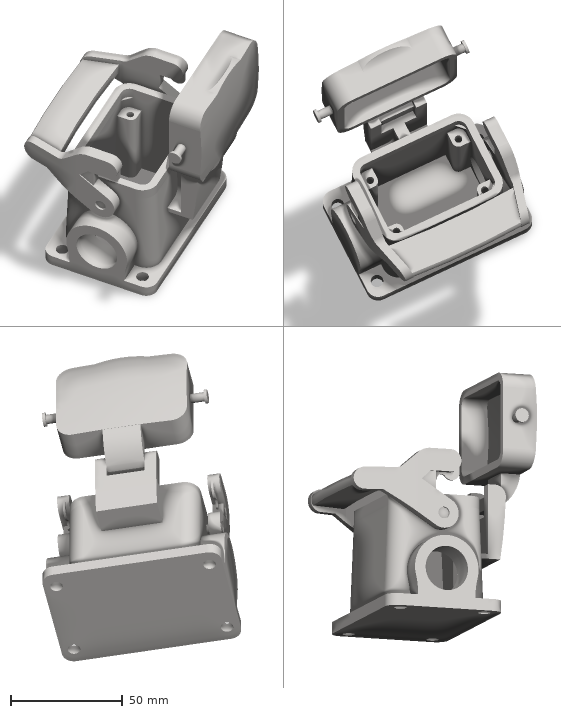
import cadquery as cq
import math


flange_length = 55.0
flange_width = 82.0
flange_thickness = 5.4
flange_corner_radius = 5.4
screw_hole_diameter = 5.7
screw_hole_x = 20.0
screw_hole_y = 35.1

shell_half_width = 30.0
shell_half_length_top = 21.55
shell_half_length_bottom = 23.45
shell_corner_radius = 7.5
wall = 3.55
cavity_corner_radius = shell_corner_radius - wall
shell_top = 54.2
lip_base = 48.9

post_inner_x = 9.9
post_inner_y = 18.8
post_corner_radius = 3.0
post_top = 42.3
post_hole_diameter = 3.4
post_hole_depth = 12.0
post_hole_x = 13.4
post_hole_y = 22.1

boss_radius = 15.15
boss_axis_z = 18.25
boss_tangent_z = 14.7
bore_diameter = 20.2

bracket_bottom = 29.0
bracket_half_width = 14.0
bracket_slot_half_width = 8.7
bracket_front_x = 29.1
bracket_back_x_top = 37.65
bracket_back_x_middle = 36.75
bracket_back_x_bottom = 35.0
bracket_top = 63.1
bracket_shoulder_z = 57.7
bracket_middle_z = (bracket_bottom + bracket_shoulder_z) / 2
bracket_crown_x = 32.3
web_half_width = 2.85
web_fillet_radius = 3.9
web_plate_thickness = 2.2

cover_front_x = 30.75
cover_rim_x = 46.3
cover_crown_x = 47.83
cover_centre_z = 91.05
cover_half_height = shell_half_length_top
cover_half_width = shell_half_width
dome_radius_xz = 170.0
dome_radius_xy = 500.0
cover_pin_x = 37.1
tongue_front_x = cover_pin_x
tongue_bar_front_x = 31.3
tongue_bar_bottom = 53.2
tongue_bar_top = 59.2
tongue_back_x = 43.6
tongue_back_z = 61.2
tongue_heel_x = 37.0
tongue_heel_z = 54.4
tongue_bar_back_x = 35.1

grip_half_width = 12.3
grip_height = 1.96
grip_crown_radius = (grip_half_width**2 + grip_height**2) / (2 * grip_height)
grip_scoop_start_x = 40.2
grip_scoop_end_x = 44.3

pin_diameter = 4.2
pin_head_diameter = 6.3
pin_head_thickness = 1.3
pin_tip_y = 37.7
pivot_z = 44.3
pivot_head_diameter = 5.26
pivot_head_recess = 1.0

sweep_half_angle = 8.0

arm_outer_y = 37.2
arm_inner_y = 31.7
arm_bend_x = -12.2
arm_slant_x = -21.1
arm_end_x = -40.9
arm_slant = math.radians(14.25)
arm_end_inner_y = 27.0
lug_radius = 7.0
lug_edge_slope = math.radians(32.4)
hook_left_x = -6.3
hook_end_x = 8.3
hook_top = 73.5
hook_bottom = 63.3
hook_radius = (hook_top - hook_bottom) / 2
hook_centre_z = hook_bottom + hook_radius
handle_bend_start_x = -22.2
handle_bend_end_x = -19.4
handle_bend_end_z = 65.0
shoulder_z = 71.3
shoulder_end_x = -7.0
throat_x = -10.5
throat_recess_depth = 0.5
window_left_x = -3.7
handle_top = 64.0
handle_bottom = 53.8
catch_inset = 1.8
catch_thickness = 1.0
catch_bottom = 59.9
catch_notch_x = -0.2
catch_notch_z = 60.1
catch_notch_radius = 2.2
catch_nose_x = 4.2
catch_tip_z = 62.6
grip_bar_top = 61.3
grip_bar_bottom = 56.4
grip_bar_rear_x = -24.8
grip_bar_crown_x = -41.6
grip_bar_bulge = 0.9
grip_bar_bow_radius = 390.0
grip_bar_overlap = 1.0


def box(x_range, y_range, z_range):
    """Block between the given limits."""
    (x0, x1), (y0, y1), (z0, z1) = x_range, y_range, z_range
    corner = cq.Vector(x0, y0, z0)
    return cq.Workplane(cq.Solid.makeBox(x1 - x0, y1 - y0, z1 - z0, corner))


def y_cylinder(diameter, y0, y1, x, z):
    """Cylinder along Y from y0 to y1."""
    direction = cq.Vector(0, math.copysign(1, y1 - y0), 0)
    return cq.Workplane(cq.Solid.makeCylinder(diameter / 2, abs(y1 - y0), cq.Vector(x, y0, z), direction))


def extrude_y(outline, y0, y1):
    """Extrude a closed XZ outline from y0 to y1."""
    return outline.extrude(y0 - y1).translate((0, y0, 0))


def rounded_block_x(half_width, half_height, radius, x0, x1):
    """Cover-shaped block along X with rounded YZ corners."""
    block = cq.Workplane("YZ").rect(2 * half_width, 2 * half_height).extrude(x1 - x0)
    return block.edges("|X").fillet(radius).translate((x0, 0, cover_centre_z))


def tapered_shell(inset, radius, bottom):
    """Shell-shaped solid whose X walls lean inwards up to the lip and then stand upright."""
    draft = (shell_half_length_bottom - shell_half_length_top) / (lip_base - flange_thickness)
    top_x = shell_half_length_top - inset
    bottom_x = top_x + draft * (lip_base - bottom)
    half_width = shell_half_width - inset
    lower = (
        cq.Workplane("XZ")
        .polyline([(-bottom_x, bottom), (bottom_x, bottom), (top_x, lip_base), (-top_x, lip_base)])
        .close()
        .extrude(half_width, both=True)
    )
    lower = lower.edges("not #Z").fillet(radius)
    lip = (
        cq.Workplane("XY", origin=(0, 0, lip_base))
        .rect(2 * top_x, 2 * half_width)
        .extrude(shell_top - lip_base)
        .edges("|Z")
        .fillet(radius)
    )
    return lower.union(lip)


def make_flange():
    """Mounting plate with four screw holes."""
    return (
        cq.Workplane("XY")
        .rect(flange_length, flange_width)
        .extrude(flange_thickness)
        .edges("|Z")
        .fillet(flange_corner_radius)
        .faces(">Z")
        .workplane()
        .rect(2 * screw_hole_x, 2 * screw_hole_y, forConstruction=True)
        .vertices()
        .hole(screw_hole_diameter)
    )


def make_entry_bosses():
    """Round cable entries on both Y ends, flared down to the flange."""
    drop = boss_axis_z - boss_tangent_z
    tangent_x = math.sqrt(boss_radius**2 - drop**2)
    flare_angle = math.asin(drop / boss_radius)
    flare_radius = (boss_tangent_z - flange_thickness) / math.sin(flare_angle)
    foot_x = tangent_x - flare_radius * (1 - math.cos(flare_angle))
    mid_angle = flare_angle / 2
    mid_x = foot_x + flare_radius * (1 - math.cos(mid_angle))
    mid_z = flange_thickness + flare_radius * math.sin(mid_angle)
    outline = (
        cq.Workplane("XZ")
        .moveTo(-foot_x, flange_thickness)
        .lineTo(foot_x, flange_thickness)
        .threePointArc((mid_x, mid_z), (tangent_x, boss_tangent_z))
        .threePointArc((0, boss_axis_z + boss_radius), (-tangent_x, boss_tangent_z))
        .threePointArc((-mid_x, mid_z), (-foot_x, flange_thickness))
        .close()
    )
    return extrude_y(outline, -flange_width / 2, flange_width / 2)


def make_posts(cavity):
    """Four corner posts with screw holes, trimmed to the cavity walls."""
    posts = []
    for side_x in (-1, 1):
        for side_y in (-1, 1):
            x_range = sorted((side_x * post_inner_x, side_x * shell_half_length_bottom))
            y_range = sorted((side_y * post_inner_y, side_y * shell_half_width))
            post = box(x_range, y_range, (flange_thickness, post_top))
            inner_edge = cq.selectors.NearestToPointSelector(
                (side_x * post_inner_x, side_y * post_inner_y, (flange_thickness + post_top) / 2)
            )
            post = post.edges(inner_edge).fillet(post_corner_radius)
            hole = (
                cq.Workplane("XY", origin=(side_x * post_hole_x, side_y * post_hole_y, post_top))
                .circle(post_hole_diameter / 2)
                .extrude(-post_hole_depth)
            )
            posts.append(post.cut(hole).intersect(cavity))
    return posts


def make_bracket():
    """Hinge fork: two arms joined below the slot, tied to the wall by a plate and a web."""
    profile = (
        cq.Workplane("XZ")
        .moveTo(bracket_front_x, bracket_bottom)
        .lineTo(bracket_back_x_bottom, bracket_bottom)
        .threePointArc((bracket_back_x_middle, bracket_middle_z), (bracket_back_x_top, bracket_shoulder_z))
        .tangentArcPoint((bracket_crown_x, bracket_top), relative=False)
        .lineTo(bracket_front_x, bracket_top)
        .close()
    )
    fork = extrude_y(profile, -bracket_half_width, bracket_half_width)
    slot_y = (-bracket_slot_half_width, bracket_slot_half_width)
    slot_x = (bracket_front_x, cover_crown_x)
    fork = fork.cut(box(slot_x, slot_y, (lip_base, cover_centre_z)))

    plate_top = bracket_bottom + web_plate_thickness
    fillet_top = plate_top + web_fillet_radius
    fillet_y = web_half_width + web_fillet_radius
    fillet_middle = web_fillet_radius * (1 - math.sqrt(0.5))
    root_x = shell_half_length_top - wall / 2
    section = (
        cq.Workplane("YZ", origin=(root_x, 0, 0))
        .moveTo(-bracket_half_width, bracket_bottom)
        .lineTo(bracket_half_width, bracket_bottom)
        .lineTo(bracket_half_width, plate_top)
        .lineTo(fillet_y, plate_top)
        .threePointArc(
            (web_half_width + fillet_middle, plate_top + fillet_middle), (web_half_width, fillet_top)
        )
        .lineTo(web_half_width, lip_base)
        .lineTo(-web_half_width, lip_base)
        .lineTo(-web_half_width, fillet_top)
        .threePointArc((-web_half_width - fillet_middle, plate_top + fillet_middle), (-fillet_y, plate_top))
        .lineTo(-bracket_half_width, plate_top)
        .close()
    )
    return fork.union(section.extrude(bracket_front_x - root_x))


def dome(crown_x):
    """Barrel-shaped solid of revolution whose bulge faces +X and peaks at crown_x."""
    axis_x = crown_x - dome_radius_xy
    reach = 1.5 * cover_half_height
    sag = dome_radius_xz - math.sqrt(dome_radius_xz**2 - reach**2)
    return (
        cq.Workplane("XZ", origin=(0, 0, cover_centre_z))
        .moveTo(axis_x, -reach)
        .lineTo(crown_x - sag, -reach)
        .threePointArc((crown_x, 0), (crown_x - sag, reach))
        .lineTo(axis_x, reach)
        .close()
        .revolve(2 * sweep_half_angle, (axis_x, -1, 0), (axis_x, 1, 0))
        .rotate((axis_x, 0, 0), (axis_x, 0, 1), -sweep_half_angle)
    )


def make_grip():
    """Thumb lip on top of the cover: a crowned ridge with a scooped front."""
    top_z = cover_centre_z + cover_half_height
    centre_z = top_z + grip_height - grip_crown_radius
    ridge = (
        cq.Workplane("YZ", origin=(grip_scoop_start_x, 0, 0))
        .center(0, centre_z)
        .circle(grip_crown_radius)
        .extrude(cover_crown_x - grip_scoop_start_x)
    )
    y_range = (-grip_half_width, grip_half_width)
    ridge = ridge.intersect(box((grip_scoop_start_x, cover_crown_x), y_range, (top_z - wall, top_z + wall)))
    run = grip_scoop_end_x - grip_scoop_start_x
    scoop_radius = (run**2 + grip_height**2) / (2 * grip_height)
    scoop = y_cylinder(2 * scoop_radius, *y_range, grip_scoop_start_x, top_z + scoop_radius)
    return ridge.cut(scoop)


def make_tongue():
    """Hinge tongue: it drops from the cover and ends in a bar lying in the fork slot."""
    top_z = cover_centre_z - cover_half_height
    joint_z = top_z + wall / 2
    outline = (
        cq.Workplane("XZ")
        .moveTo(tongue_front_x, joint_z)
        .lineTo(cover_rim_x, joint_z)
        .lineTo(cover_rim_x, top_z)
        .threePointArc((tongue_back_x, tongue_back_z), (tongue_heel_x, tongue_heel_z))
        .lineTo(tongue_bar_back_x, tongue_bar_bottom)
        .lineTo(tongue_bar_front_x, tongue_bar_bottom)
        .lineTo(tongue_bar_front_x, tongue_bar_top)
        .lineTo(tongue_front_x, tongue_bar_top)
        .close()
    )
    return extrude_y(outline, -bracket_slot_half_width, bracket_slot_half_width)


def make_cover_pin(side):
    """Headed locking pin on one Y wall of the cover."""
    start_y = side * (shell_half_width - wall / 2)
    head_y = side * (pin_tip_y - pin_head_thickness)
    tip_y = side * pin_tip_y
    shank = y_cylinder(pin_diameter, start_y, head_y, cover_pin_x, cover_centre_z)
    return shank.union(y_cylinder(pin_head_diameter, head_y, tip_y, cover_pin_x, cover_centre_z))


def make_cover():
    """Hollow domed cover with its thumb lip, hinge tongue and locking pins."""
    body = rounded_block_x(
        cover_half_width, cover_half_height, shell_corner_radius, cover_front_x, cover_crown_x
    )
    body = body.union(make_grip()).intersect(dome(cover_crown_x))
    pocket = rounded_block_x(
        cover_half_width - wall, cover_half_height - wall, cavity_corner_radius, cover_front_x, cover_crown_x
    ).intersect(dome(cover_crown_x - wall))
    body = body.cut(pocket).union(make_tongue())
    for side in (-1, 1):
        body = body.union(make_cover_pin(side))
    return body


def make_pivot_pin(side):
    """Shouldered pin on one Y wall whose head fills the lever's bore, short of its outer face."""
    start_y = side * (shell_half_width - wall / 2)
    shoulder_y = side * arm_inner_y
    head_y = side * (arm_outer_y - pivot_head_recess)
    neck = y_cylinder(pin_diameter, start_y, shoulder_y, 0, pivot_z)
    return neck.union(y_cylinder(pivot_head_diameter, shoulder_y, head_y, 0, pivot_z))


def make_housing():
    """Flanged shell with cable entries, hinge bracket, pivot pins and the attached cover."""
    cavity = tapered_shell(wall, cavity_corner_radius, flange_thickness)
    body = make_flange().union(tapered_shell(0, shell_corner_radius, flange_thickness))
    body = body.union(make_entry_bosses()).union(make_bracket()).cut(cavity)
    for post in make_posts(cavity):
        body = body.union(post)
    bore_end = -shell_half_width + wall
    body = body.cut(y_cylinder(bore_diameter, -flange_width / 2, bore_end, 0, boss_axis_z))
    for side in (-1, 1):
        body = body.union(make_pivot_pin(side))
    return body.union(make_cover())


def lug_point(side):
    """Point where the lug's rounding meets its lower (-1) or upper (+1) straight edge."""
    x = side * lug_radius * math.sin(lug_edge_slope)
    z = pivot_z + side * lug_radius * math.cos(lug_edge_slope)
    return x, z


def upper_lug_edge_z(x):
    """Height of the lug's upper straight edge at x."""
    edge_x, edge_z = lug_point(1)
    return edge_z + (edge_x - x) * math.tan(lug_edge_slope)


def make_arm_profile():
    """Side outline of a lever arm: rounded handle end, hook, throat and pivot lug."""
    lower_x, lower_z = lug_point(-1)
    handle_radius = (handle_top - handle_bottom) / 2
    handle_centre_x = arm_end_x + handle_radius
    handle_corner_x = lower_x - (handle_bottom - lower_z) / math.tan(lug_edge_slope)
    hook_side_x = hook_end_x - hook_radius
    return (
        cq.Workplane("XZ")
        .moveTo(lower_x, lower_z)
        .lineTo(handle_corner_x, handle_bottom)
        .lineTo(handle_centre_x, handle_bottom)
        .threePointArc((arm_end_x, handle_bottom + handle_radius), (handle_centre_x, handle_top))
        .lineTo(handle_bend_start_x, handle_top)
        .tangentArcPoint((handle_bend_end_x, handle_bend_end_z), relative=False)
        .lineTo(arm_bend_x, shoulder_z)
        .tangentArcPoint((shoulder_end_x, hook_top), relative=False)
        .lineTo(hook_side_x, hook_top)
        .threePointArc((hook_end_x, hook_centre_z), (hook_side_x, hook_bottom))
        .lineTo(hook_left_x, hook_bottom)
        .lineTo(throat_x, upper_lug_edge_z(throat_x))
        .lineTo(*lug_point(1))
        .threePointArc((lug_radius, pivot_z), (lower_x, lower_z))
        .close()
    )


def arm_inner_face_y(x):
    """Inner face of the slanted part of an arm at x."""
    return arm_end_inner_y + (x - arm_end_x) * math.tan(arm_slant)


def make_arm_plan():
    """Plan outline of the +Y arm: flat around the pivot, slanting inwards to the handle."""
    bend_radius = (arm_bend_x - arm_slant_x) / math.sin(arm_slant)
    slant_y = arm_outer_y - bend_radius * (1 - math.cos(arm_slant))
    bend_mid_x = arm_bend_x - bend_radius * math.sin(arm_slant / 2)
    bend_mid_y = arm_outer_y - bend_radius * (1 - math.cos(arm_slant / 2))
    end_outer_y = slant_y - (arm_slant_x - arm_end_x) * math.tan(arm_slant)
    inner_bend_x = arm_end_x + (arm_inner_y - arm_end_inner_y) / math.tan(arm_slant)
    return (
        cq.Workplane("XY")
        .moveTo(arm_end_x, arm_end_inner_y)
        .lineTo(inner_bend_x, arm_inner_y)
        .lineTo(hook_end_x, arm_inner_y)
        .lineTo(hook_end_x, arm_outer_y)
        .lineTo(arm_bend_x, arm_outer_y)
        .threePointArc((bend_mid_x, bend_mid_y), (arm_slant_x, slant_y))
        .lineTo(arm_end_x, end_outer_y)
        .close()
    )


def make_throat_infill():
    """Web filling the narrow end of the throat, set back from the arm's outer face."""
    outline = (
        cq.Workplane("XZ")
        .moveTo(throat_x, upper_lug_edge_z(throat_x))
        .lineTo(hook_left_x, hook_bottom)
        .lineTo(window_left_x, hook_bottom)
        .lineTo(window_left_x, upper_lug_edge_z(window_left_x))
        .close()
    )
    return extrude_y(outline, arm_inner_y, arm_outer_y - throat_recess_depth)


def make_catch():
    """Thin notched lip under the hook, set in from both faces; it snaps over the cover pin."""
    notch_offset = catch_notch_radius * math.sqrt(0.5)
    ramp_x = catch_notch_x + notch_offset
    ramp_z = catch_notch_z + notch_offset
    outline = (
        cq.Workplane("XZ")
        .moveTo(window_left_x, hook_centre_z)
        .lineTo(window_left_x, catch_bottom)
        .lineTo(catch_notch_x - catch_notch_radius, catch_bottom)
        .lineTo(catch_notch_x - catch_notch_radius, catch_notch_z)
        .threePointArc((catch_notch_x, catch_notch_z + catch_notch_radius), (ramp_x, ramp_z))
        .threePointArc((catch_nose_x, catch_bottom), (hook_end_x, catch_tip_z))
        .lineTo(hook_end_x, hook_centre_z)
        .close()
    )
    start_y = arm_inner_y + catch_inset
    return extrude_y(outline, start_y, start_y + catch_thickness)


def make_arm():
    """Lever arm on the +Y side, bored for the pivot pin."""
    plan = make_arm_plan().extrude(hook_top)
    arm = extrude_y(make_arm_profile(), 0, arm_outer_y).intersect(plan)
    arm = arm.union(make_throat_infill()).union(make_catch())
    return arm.cut(y_cylinder(pivot_head_diameter, 0, arm_outer_y, 0, pivot_z))


def make_grip_bar():
    """Bar between the arms, bowed in plan, with a bulging front face."""
    axis_x = grip_bar_crown_x + grip_bar_bow_radius
    front_x = grip_bar_crown_x + grip_bar_bulge
    middle_z = (grip_bar_bottom + grip_bar_top) / 2
    bar = (
        cq.Workplane("XZ")
        .moveTo(grip_bar_rear_x, grip_bar_bottom)
        .lineTo(front_x, grip_bar_bottom)
        .threePointArc((grip_bar_crown_x, middle_z), (front_x, grip_bar_top))
        .lineTo(grip_bar_rear_x, grip_bar_top)
        .close()
        .revolve(2 * sweep_half_angle, (axis_x, -1, 0), (axis_x, 1, 0))
        .rotate((axis_x, 0, 0), (axis_x, 0, 1), -sweep_half_angle)
    )
    front_y = arm_inner_face_y(grip_bar_crown_x) + grip_bar_overlap
    rear_x = arm_slant_x
    rear_y = arm_inner_face_y(rear_x) + grip_bar_overlap
    trim = (
        cq.Workplane("XY")
        .moveTo(grip_bar_crown_x, -front_y)
        .lineTo(rear_x, -rear_y)
        .lineTo(rear_x, rear_y)
        .lineTo(grip_bar_crown_x, front_y)
        .close()
        .extrude(handle_top)
    )
    return bar.intersect(trim)


def make_lever():
    """Two mirrored arms joined by the grip bar."""
    arm = make_arm()
    return make_grip_bar().union(arm).union(arm.mirror("XZ"))


housing = make_housing()
lever = make_lever()
result = cq.Compound.makeCompound([housing.val(), lever.val()])